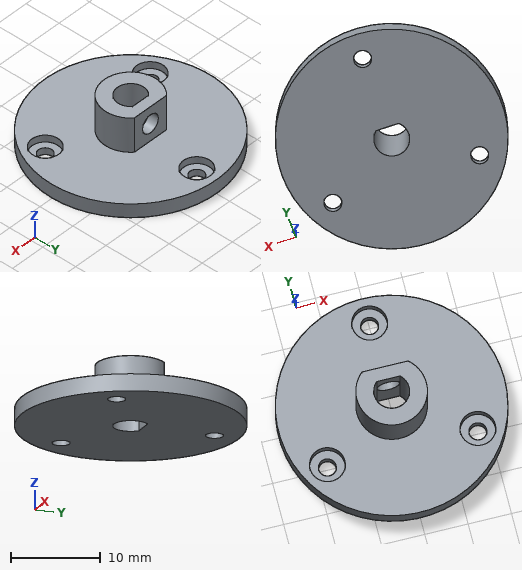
import cadquery as cq

flange_diameter = 26.0
flange_thickness = 2.0

total_height = 7.0
hub_diameter = 8.0
hub_flat_offset = 3.0
bore_diameter = hub_diameter / 2
bore_flat_offset = hub_flat_offset / 2

set_screw_diameter = 2.6
set_screw_height = (flange_thickness + total_height) / 2

mount_count = 3
mount_circle_radius = 10.0
mount_hole_diameter = 2.0
mount_head_diameter = 2 * mount_hole_diameter
mount_head_depth = flange_thickness / 2


def d_cylinder(diameter, flat_offset, height):
    """Upright cylinder from Z = 0, cut off flat at Y = flat_offset."""
    radius = diameter / 2
    kept_depth = radius + flat_offset
    kept_side = cq.Workplane("XY").box(diameter, kept_depth, height, centered=(True, False, False))
    kept_side = kept_side.translate((0, -radius, 0))
    return cq.Workplane("XY").circle(radius).extrude(height).intersect(kept_side)


flange = cq.Workplane("XY").circle(flange_diameter / 2).extrude(flange_thickness)
hub = d_cylinder(hub_diameter, hub_flat_offset, total_height)
bore = d_cylinder(bore_diameter, bore_flat_offset, total_height)

set_screw_hole = (
    cq.Workplane("XZ")
    .center(0, set_screw_height)
    .circle(set_screw_diameter / 2)
    .extrude(-hub_diameter / 2)
)

body = flange.union(hub).cut(bore).cut(set_screw_hole)

mount_holes = (
    cq.Workplane("XY")
    .polarArray(mount_circle_radius, 90, 360, mount_count)
    .circle(mount_hole_diameter / 2)
    .extrude(flange_thickness)
)
head_recesses = (
    cq.Workplane("XY", origin=(0, 0, flange_thickness))
    .polarArray(mount_circle_radius, 90, 360, mount_count)
    .circle(mount_head_diameter / 2)
    .extrude(-mount_head_depth)
)

result = body.cut(mount_holes).cut(head_recesses)